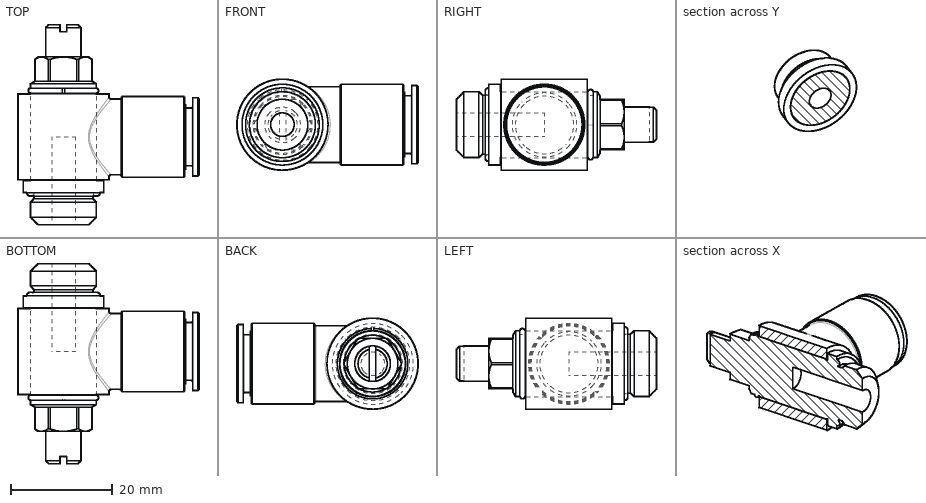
import cadquery as cq
import math


barrel_radius = 9.0
barrel_length = 17.0
saddle_fillet = 0.4

branch_root_radius = 7.5
branch_root_end = 11.2
sleeve_radius = 8.0
sleeve_root_fillet = 0.28
sleeve_start_chamfer = 0.2
sleeve_end = 24.0
sleeve_end_chamfer = 0.28
sleeve_lip_radius = 6.35
sleeve_lip_end = 24.1
release_neck_radius = 5.73
release_neck_fillet = 0.2
release_flange_radius = 7.75
release_flange_start = 25.5
release_flange_end = 26.8
release_flange_chamfer = 0.28

bolt_radius = 6.5
groove_radius = 5.85
axial_play = 0.1
bolt_bottom = -17.35
thread_end_chamfer = 1.5
thread_top = -12.92
thread_relief_bottom = -12.15
stop_flange_radius = 8.0
stop_flange_bottom = -11.0
stop_flange_top = -barrel_length / 2 - axial_play
seal_section_radius = 0.7
clip_bottom = barrel_length / 2 + axial_play
clip_top = 9.65
clip_radius = 6.95
clip_gap = 0.5
collar_top = 11.02
collar_chamfer_height = 0.55
collar_chamfer_width = 0.9
port_radius = 2.35
port_depth = -bolt_bottom

hex_flats = 10.0
hex_turn = 30
hex_corner_radius = 5.65
hex_top = 15.75
hex_chamfer_height = 0.47
stem_radius = 3.5
stem_top = 22.15
stem_chamfer = 0.65
slot_width = 1.25
slot_depth = 1.42


def cylinder_along_y(radius, start, end):
    return cq.Workplane("XZ", origin=(0, start, 0)).circle(radius).extrude(start - end)


def make_branch():
    """Stepped tube branch, revolved about the X axis; it starts on the bolt axis."""
    face_x = branch_root_end + sleeve_root_fillet
    fillet_mid = sleeve_root_fillet * math.sqrt(0.5)
    neck_fillet_mid = release_neck_fillet * (1 - math.sqrt(0.5))
    return (
        cq.Workplane("XY")
        .moveTo(0, 0)
        .lineTo(0, branch_root_radius)
        .lineTo(branch_root_end, branch_root_radius)
        .threePointArc(
            (branch_root_end + fillet_mid, branch_root_radius + sleeve_root_fillet - fillet_mid),
            (face_x, sleeve_radius - sleeve_start_chamfer),
        )
        .lineTo(face_x + sleeve_start_chamfer, sleeve_radius)
        .lineTo(sleeve_end - sleeve_end_chamfer, sleeve_radius)
        .lineTo(sleeve_end, sleeve_radius - sleeve_end_chamfer)
        .lineTo(sleeve_end, sleeve_lip_radius)
        .lineTo(sleeve_lip_end, sleeve_lip_radius)
        .lineTo(sleeve_lip_end, release_neck_radius)
        .lineTo(release_flange_start - release_neck_fillet, release_neck_radius)
        .threePointArc(
            (release_flange_start - neck_fillet_mid, release_neck_radius + neck_fillet_mid),
            (release_flange_start, release_neck_radius + release_neck_fillet),
        )
        .lineTo(release_flange_start, release_flange_radius)
        .lineTo(release_flange_end - release_flange_chamfer, release_flange_radius)
        .lineTo(release_flange_end, release_flange_radius - release_flange_chamfer)
        .lineTo(release_flange_end, 0)
        .close()
        .revolve(360, (0, 0, 0), (1, 0, 0))
    )


def make_housing():
    half_length = barrel_length / 2
    housing = cylinder_along_y(barrel_radius, -half_length, half_length).union(make_branch())
    box_x = (barrel_radius + branch_root_end) / 2
    box_y = (branch_root_radius + half_length) / 2
    saddle_box = cq.selectors.BoxSelector(
        (0, -box_y, -barrel_radius),
        (box_x, box_y, barrel_radius),
        boundingbox=True,
    )
    housing = housing.edges(saddle_box).fillet(saddle_fillet)
    return housing.cut(cylinder_along_y(bolt_radius, -half_length, half_length))


def make_turned_bolt():
    """Round part of the bolt up to the upper collar, revolved about the Y axis."""
    seal_centre_radius = groove_radius + seal_section_radius
    return (
        cq.Workplane("XY")
        .moveTo(0, bolt_bottom)
        .lineTo(bolt_radius - thread_end_chamfer, bolt_bottom)
        .lineTo(bolt_radius, bolt_bottom + thread_end_chamfer)
        .lineTo(bolt_radius, thread_top)
        .lineTo(groove_radius, thread_relief_bottom)
        .lineTo(groove_radius, stop_flange_bottom)
        .threePointArc(
            (seal_centre_radius, stop_flange_bottom - seal_section_radius),
            (seal_centre_radius + seal_section_radius, stop_flange_bottom),
        )
        .lineTo(stop_flange_radius, stop_flange_bottom)
        .lineTo(stop_flange_radius, stop_flange_top)
        .lineTo(bolt_radius, stop_flange_top)
        .lineTo(bolt_radius, clip_bottom)
        .lineTo(groove_radius, clip_bottom)
        .lineTo(groove_radius, clip_top)
        .lineTo(bolt_radius, clip_top)
        .lineTo(bolt_radius, collar_top - collar_chamfer_height)
        .lineTo(bolt_radius - collar_chamfer_width, collar_top)
        .lineTo(0, collar_top)
        .close()
        .revolve(360, (0, 0, 0), (0, 1, 0))
    )


def make_clip():
    """Retaining ring with a rounded rim, open at its +Z side."""
    rim_radius = (clip_top - clip_bottom) / 2
    rim_start = clip_radius - rim_radius
    ring = (
        cq.Workplane("XY")
        .moveTo(groove_radius, clip_bottom)
        .lineTo(rim_start, clip_bottom)
        .threePointArc((clip_radius, clip_bottom + rim_radius), (rim_start, clip_top))
        .lineTo(groove_radius, clip_top)
        .close()
        .revolve(360, (0, 0, 0), (0, 1, 0))
    )
    gap = (
        cq.Workplane("XY")
        .box(clip_gap, clip_top - clip_bottom, clip_radius, centered=(True, False, False))
        .translate((0, clip_bottom, 0))
    )
    return ring.cut(gap)


def make_hexagon():
    """Hexagon with flats facing +Z and -Z, its corners trimmed round and chamfered on top."""
    prism = (
        cq.Workplane("XZ", origin=(0, collar_top, 0))
        .polygon(6, hex_flats, circumscribed=True)
        .extrude(collar_top - hex_top)
        .rotate((0, 0, 0), (0, 1, 0), hex_turn)
    )
    trim = (
        cylinder_along_y(hex_corner_radius, collar_top, hex_top)
        .faces(">Y")
        .chamfer(hex_chamfer_height, hex_corner_radius - hex_flats / 2)
    )
    return prism.intersect(trim)


def make_stem():
    stem = cylinder_along_y(stem_radius, hex_top, stem_top).faces(">Y").chamfer(stem_chamfer)
    slot = cq.Workplane("XY").box(slot_width, 2 * slot_depth, 2 * stem_radius).translate((0, stem_top, 0))
    return stem.cut(slot)


def make_bolt():
    port = cylinder_along_y(port_radius, bolt_bottom, bolt_bottom + port_depth)
    return make_turned_bolt().union(make_clip()).union(make_hexagon()).union(make_stem()).cut(port)


housing = make_housing()
bolt = make_bolt()

result = cq.Compound.makeCompound([housing.solids().val(), bolt.solids().val()])